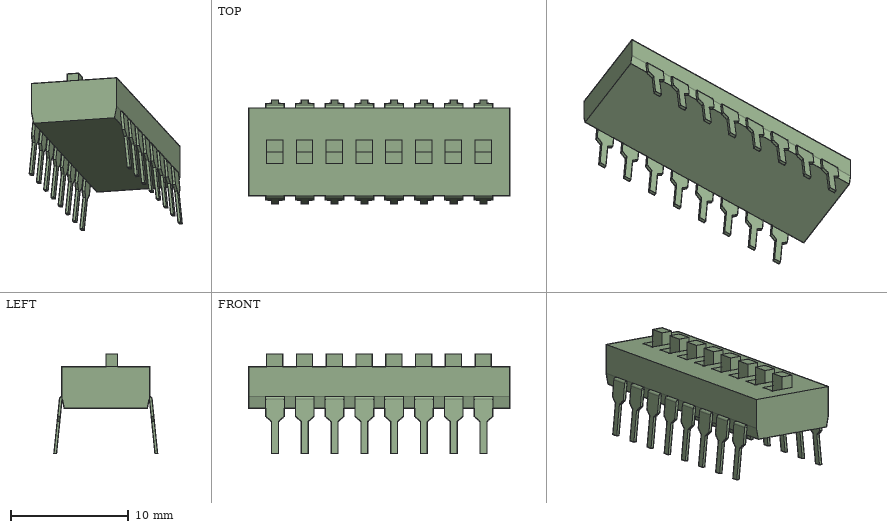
import cadquery as cq
import math


body_length = 22.25
body_depth = 7.5
body_height = 3.54
skirt_height = 1.0
skirt_inset = 0.2

switch_count = 8
pitch = 2.54
slider_row_offset = -0.02

window_width = 1.4
window_depth = 2.0
window_recess = 0.45
slider_rise = 1.1

pin_thickness = 0.25
pin_tip_span = 8.85
pin_drop = 3.87
pin_lean = 5.8
pin_bend_radius = 0.25
blade_width = 1.6
blade_height = 1.7
neck_height = 0.45
tail_width = 0.6
pin_embed = 0.45

row_positions = [(i - (switch_count - 1) / 2) * pitch for i in range(switch_count)]


def make_body():
    """Block whose long sides taper inward below the shoulder."""
    half_top = body_depth / 2
    half_bottom = half_top - skirt_inset
    outline = [
        (-half_bottom, 0),
        (half_bottom, 0),
        (half_top, skirt_height),
        (half_top, body_height),
        (-half_top, body_height),
        (-half_top, skirt_height),
    ]
    return cq.Workplane("YZ").polyline(outline).close().extrude(body_length / 2, both=True)


def make_window(x):
    """Shallow rectangular recess in the top face."""
    return (
        cq.Workplane("XY", origin=(x, 0, body_height - window_recess))
        .rect(window_width, window_depth)
        .extrude(window_recess)
    )


def make_slider(x):
    """Rectangular knob standing on the window floor."""
    slider_depth = window_depth / 2
    return (
        cq.Workplane("XY", origin=(x, -slider_depth / 2, body_height - window_recess))
        .rect(window_width, slider_depth)
        .extrude(window_recess + slider_rise)
    )


def make_pin():
    """Bent, leaning pin on the +Y side, centred on X = 0."""
    lean = math.radians(pin_lean)
    top = skirt_height
    tip = -pin_drop
    tip_outer = pin_tip_span / 2
    wall = pin_thickness / math.cos(lean)

    def outer_y(z):
        return tip_outer - (z - tip) * math.tan(lean)

    bend_z = top - pin_bend_radius
    bend_y = outer_y(bend_z) - pin_bend_radius / math.cos(lean)

    def bend_point(angle):
        return (
            bend_y + pin_bend_radius * math.cos(angle),
            bend_z + pin_bend_radius * math.sin(angle),
        )

    root_y = body_depth / 2 - pin_embed
    underside = top - pin_thickness
    side_profile = (
        cq.Workplane("YZ")
        .moveTo(root_y, top)
        .lineTo(bend_y, top)
        .threePointArc(bend_point((lean + math.pi / 2) / 2), bend_point(lean))
        .lineTo(tip_outer, tip)
        .lineTo(tip_outer - wall, tip)
        .lineTo(outer_y(underside) - wall, underside)
        .lineTo(root_y, underside)
        .close()
        .extrude(blade_width / 2, both=True)
    )

    neck_top = top - blade_height
    neck_bottom = neck_top - neck_height
    half_blade = blade_width / 2
    half_tail = tail_width / 2
    front_outline = [
        (-half_blade, top),
        (-half_blade, neck_top),
        (-half_tail, neck_bottom),
        (-half_tail, tip),
        (half_tail, tip),
        (half_tail, neck_bottom),
        (half_blade, neck_top),
        (half_blade, top),
    ]
    front_profile = (
        cq.Workplane("XZ").polyline(front_outline).close().extrude(pin_tip_span, both=True)
    )
    return side_profile.intersect(front_profile)


result = make_body()

for x in row_positions:
    slider_x = x + slider_row_offset
    result = result.cut(make_window(slider_x)).union(make_slider(slider_x))

rear_pin = make_pin()
front_pin = rear_pin.mirror("XZ")
for x in row_positions:
    result = result.union(rear_pin.translate((x, 0, 0)))
    result = result.union(front_pin.translate((x, 0, 0)))